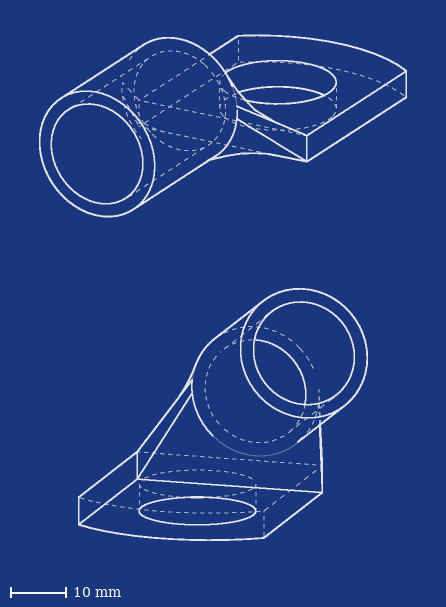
import cadquery as cq
import math

total_length = 88.0
palm_width = 35.0
palm_thickness = 5.1
palm_start = 45.9
palm_end_sagitta = 5.7
bolt_hole_diameter = 21.1
bolt_hole_y = 66.0
barrel_length = 30.1
barrel_diameter = 24.0
bore_diameter = 19.1
total_height = 26.0
neck_side_height = 2.5
surface_steps = 24
surface_tolerance = 0.0001
sewing_tolerance = 0.001

half_width = palm_width / 2
barrel_radius = barrel_diameter / 2
barrel_axis_z = total_height - barrel_radius


def make_palm():
    """Flat tongue with a bowed end and a bolt hole."""
    shoulder_y = total_length - palm_end_sagitta
    return (
        cq.Workplane("XY")
        .moveTo(-half_width, palm_start)
        .lineTo(half_width, palm_start)
        .lineTo(half_width, shoulder_y)
        .threePointArc((0, total_length), (-half_width, shoulder_y))
        .close()
        .moveTo(0, bolt_hole_y)
        .circle(bolt_hole_diameter / 2)
        .extrude(palm_thickness)
    )


def make_barrel():
    """Round socket, closed by the neck at its inner end."""
    return (
        cq.Workplane("XZ", origin=(0, 0, barrel_axis_z))
        .circle(barrel_radius)
        .circle(bore_diameter / 2)
        .extrude(-barrel_length)
    )


def barrel_point(angle):
    return cq.Vector(
        barrel_radius * math.cos(angle),
        barrel_length,
        barrel_axis_z + barrel_radius * math.sin(angle),
    )


def barrel_arc(start, end):
    return cq.Edge.makeThreePointArc(
        barrel_point(start), barrel_point((start + end) / 2), barrel_point(end)
    )


def make_hollow_top(right_angle, left_angle):
    """Upper neck face: flat at the palm, its crown rising with the square of the distance."""
    rows = []
    for step in range(surface_steps + 1):
        along = step / surface_steps
        row = []
        for column in range(surface_steps + 1):
            across = column / surface_steps
            palm_point = cq.Vector(half_width * (1 - 2 * across), palm_start, palm_thickness)
            rim_point = barrel_point(right_angle + (left_angle - right_angle) * across)
            chord_z = barrel_point(right_angle).z
            crown = cq.Vector(0, 0, (rim_point.z - chord_z) * (along**2 - along))
            row.append(palm_point + (rim_point - palm_point) * along + crown)
        rows.append(row)
    return cq.Face.makeSplineApprox(rows, tol=surface_tolerance, minDeg=3, maxDeg=8)


def make_neck():
    """Solid transition from the rectangular palm section to the round barrel section."""
    side_angle = math.asin(neck_side_height / barrel_diameter)
    angles = [-side_angle, side_angle, math.pi - side_angle, math.pi + side_angle]
    arc_ends = angles[1:] + [2 * math.pi - side_angle]
    palm_corners = [
        cq.Vector(half_width, palm_start, 0),
        cq.Vector(half_width, palm_start, palm_thickness),
        cq.Vector(-half_width, palm_start, palm_thickness),
        cq.Vector(-half_width, palm_start, 0),
    ]
    palm_edges = [
        cq.Edge.makeLine(corner, palm_corners[(i + 1) % 4])
        for i, corner in enumerate(palm_corners)
    ]
    barrel_edges = [barrel_arc(start, end) for start, end in zip(angles, arc_ends)]
    right, top, left, bottom = range(4)
    faces = [
        cq.Face.makeFromWires(cq.Wire.assembleEdges(palm_edges)),
        cq.Face.makeFromWires(cq.Wire.assembleEdges(barrel_edges)),
        make_hollow_top(angles[top], angles[left]),
    ]
    for i in (right, left, bottom):
        faces.append(cq.Face.makeRuledSurface(palm_edges[i], barrel_edges[i]))
    shell = cq.occ_impl.shapes.shell(*faces, tol=sewing_tolerance)
    return cq.Workplane(cq.Solid.makeSolid(shell).fix())


result = make_palm().union(make_neck()).union(make_barrel())